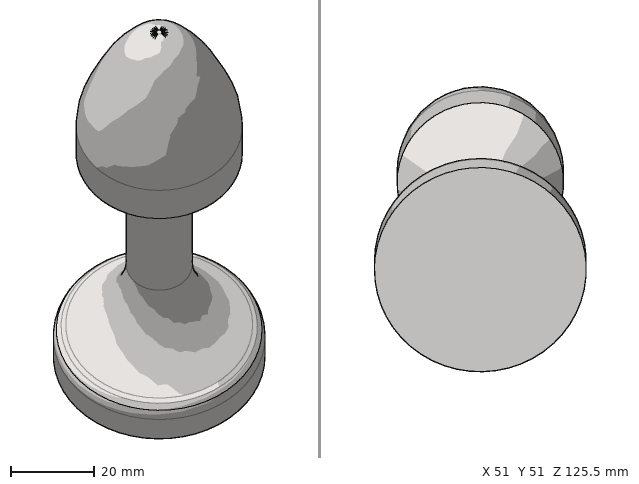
import cadquery as cq
import math


base_radius = 25.5
shoulder_start_z = 7.5
shoulder_round = 5.0
base_top_z = 10.2
shoulder_end_radius = 23.6

rod_radius = 16.0 / 2
flare_foot_radius = 22.5
flare_foot_z = 12.0
flare_mid_radius = 15.4
flare_mid_z = 17.6
flare_top_z = 35.5

head_radius = 40.0 / 2
head_bottom_z = 65.8
band_bottom_z = 78.6
band_top_z = 89.5
tip_z = 125.5
tip_flat_radius = 0.6
dome_curve_points = [(2.6, 124.9), (5.1, 123.2), (9.3, 118.3), (13.3, 111.6), (16.7, 103.4), (19.2, 96.0)]


def shoulder_point(angle):
    """Point on the shoulder arc, with the angle measured up from horizontal."""
    centre_radius = base_radius - shoulder_round
    return (
        centre_radius + shoulder_round * math.cos(angle),
        shoulder_start_z + shoulder_round * math.sin(angle),
    )


joint_angle = math.asin((base_top_z - shoulder_start_z) / shoulder_round)
shoulder_end_angle = math.acos(1 - (base_radius - shoulder_end_radius) / shoulder_round)


def turn(profile):
    """Revolve a closed half profile about the Z axis."""
    return profile.close().revolve(360, (0, 0, 0), (0, 1, 0))


def make_base():
    """Disc whose top edge is the lower part of the shoulder arc."""
    profile = (
        cq.Workplane("XZ")
        .lineTo(base_radius, 0)
        .lineTo(base_radius, shoulder_start_z)
        .threePointArc(shoulder_point(joint_angle / 2), shoulder_point(joint_angle))
        .lineTo(0, base_top_z)
    )
    return turn(profile)


def make_stem():
    """Upper part of the shoulder, narrow rim cone, flare and rod."""
    middle_angle = (joint_angle + shoulder_end_angle) / 2
    profile = (
        cq.Workplane("XZ")
        .moveTo(0, base_top_z)
        .lineTo(*shoulder_point(joint_angle))
        .threePointArc(shoulder_point(middle_angle), shoulder_point(shoulder_end_angle))
        .lineTo(flare_foot_radius, flare_foot_z)
        .threePointArc((flare_mid_radius, flare_mid_z), (rod_radius, flare_top_z))
        .lineTo(rod_radius, head_bottom_z)
        .lineTo(0, head_bottom_z)
    )
    return turn(profile)


def make_head():
    """Cone widening to a cylindrical band, closed by a dome with a small flat tip."""
    dome_curve = [*reversed(dome_curve_points), (tip_flat_radius, tip_z)]
    profile = (
        cq.Workplane("XZ")
        .moveTo(0, head_bottom_z)
        .lineTo(rod_radius, head_bottom_z)
        .lineTo(head_radius, band_bottom_z)
        .lineTo(head_radius, band_top_z)
        .spline(dome_curve, tangents=[(0, 1), (-1, 0)], includeCurrent=True)
        .lineTo(0, tip_z)
    )
    return turn(profile)


base = make_base()
stem = make_stem()
head = make_head()

result = cq.Compound.makeCompound([base.val(), stem.val(), head.val()])